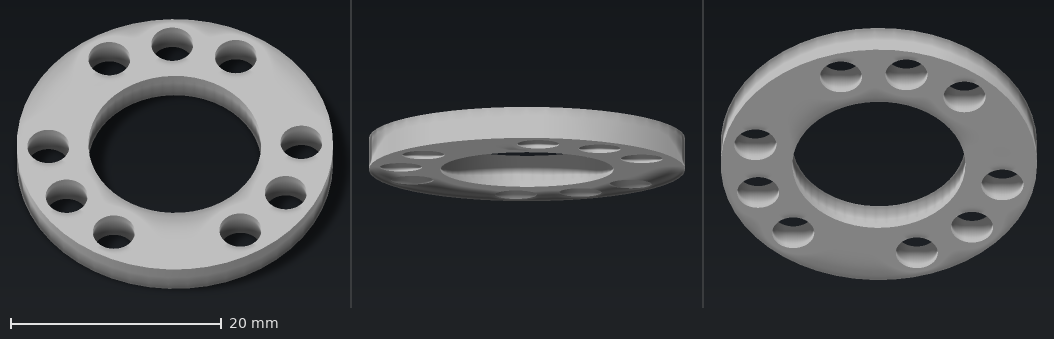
import cadquery as cq
import math

outer_diameter = 30.0
bore_diameter = 16.4
thickness = outer_diameter / 10

hole_diameter = 4.0
hole_circle_radius = 12.0
group_count = 3
group_spacing = 360 / group_count
hole_spacing = 30
hole_offsets = (-hole_spacing, 0, hole_spacing)


def hole_centre(angle):
    """Point on the hole circle at an angle in degrees from +X."""
    radians = math.radians(angle)
    return (hole_circle_radius * math.cos(radians), hole_circle_radius * math.sin(radians))


hole_centres = [
    hole_centre(group * group_spacing + offset)
    for group in range(group_count)
    for offset in hole_offsets
]

ring = (
    cq.Workplane("XY")
    .circle(outer_diameter / 2)
    .circle(bore_diameter / 2)
    .extrude(thickness)
)

holes = (
    cq.Workplane("XY")
    .pushPoints(hole_centres)
    .circle(hole_diameter / 2)
    .extrude(thickness)
)

result = ring.cut(holes)